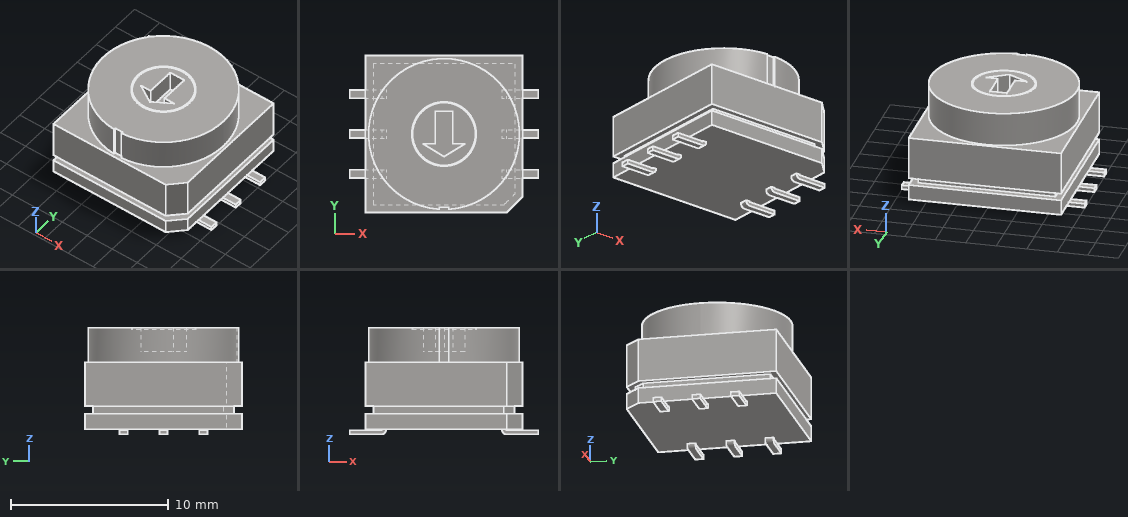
import cadquery as cq

body_side = 10.0
corner_chamfer = 1.0
neck_inset = 0.5
standoff = 0.32
base_height = 1.01
neck_height = 0.47
body_top = 4.6
base_top = standoff + base_height
neck_top = base_top + neck_height

knob_diameter = 9.6
overall_height = 6.8
notch_width = 0.6
notch_depth = 0.13

ring_outer_diameter = 4.1
ring_inner_diameter = 4.0
ring_depth = 0.1

arrow_half_length = 1.44
shaft_width = 1.12
head_width = 2.66
head_length = 0.82
arrow_depth = 1.5

lead_span = 12.0
lead_inner_gap = 7.37
lead_width = 0.54
lead_thickness = 0.28
lead_pitch = 2.55
leads_per_side = 3
inner_bend_radius = 0.02
outer_bend_radius = inner_bend_radius + lead_thickness


def housing_slab(inset, bottom, top):
    """Square slab with its +X -Y corner cut off, shrunk evenly by inset."""
    half = body_side / 2
    outline = (
        cq.Workplane("XY", origin=(0, 0, bottom))
        .moveTo(-half, -half)
        .lineTo(half - corner_chamfer, -half)
        .lineTo(half, -half + corner_chamfer)
        .lineTo(half, half)
        .lineTo(-half, half)
        .close()
    )
    if inset:
        outline = outline.offset2D(-inset, "intersection")
    return outline.extrude(top - bottom)


def knob():
    """Cylinder with a shallow pointer notch down its -Y side."""
    height = overall_height - body_top
    radius = knob_diameter / 2
    cylinder = cq.Workplane("XY", origin=(0, 0, body_top)).circle(radius).extrude(height)
    notch = cq.Workplane("XY").box(
        notch_width, 2 * notch_depth, height, centered=(True, True, False)
    )
    return cylinder.cut(notch.translate((0, -radius, body_top)))


def ring_groove():
    return (
        cq.Workplane("XY", origin=(0, 0, overall_height))
        .circle(ring_outer_diameter / 2)
        .circle(ring_inner_diameter / 2)
        .extrude(-ring_depth)
    )


def arrow_slot():
    head_base = head_length - arrow_half_length
    return (
        cq.Workplane("XY", origin=(0, 0, overall_height))
        .moveTo(0, -arrow_half_length)
        .lineTo(head_width / 2, head_base)
        .lineTo(shaft_width / 2, head_base)
        .lineTo(shaft_width / 2, arrow_half_length)
        .lineTo(-shaft_width / 2, arrow_half_length)
        .lineTo(-shaft_width / 2, head_base)
        .lineTo(-head_width / 2, head_base)
        .close()
        .extrude(-arrow_depth)
    )


def lead():
    """Constant-thickness +X terminal, bent up at its inner end into the base."""
    inner_x = lead_inner_gap / 2
    post_x = inner_x + lead_thickness
    outer_x = lead_span / 2
    return (
        cq.Workplane("XZ")
        .moveTo(outer_x, 0)
        .lineTo(outer_x, lead_thickness)
        .lineTo(post_x + inner_bend_radius, lead_thickness)
        .radiusArc((post_x, outer_bend_radius), inner_bend_radius)
        .lineTo(post_x, base_top)
        .lineTo(inner_x, base_top)
        .lineTo(inner_x, outer_bend_radius)
        .radiusArc((inner_x + outer_bend_radius, 0), -outer_bend_radius)
        .close()
        .extrude(lead_width / 2, both=True)
    )


result = housing_slab(0, standoff, base_top)
result = result.union(housing_slab(neck_inset, base_top, neck_top))
result = result.union(housing_slab(0, neck_top, body_top))
result = result.union(knob())
result = result.cut(ring_groove())
result = result.cut(arrow_slot())

for index in range(leads_per_side):
    lead_y = (index - (leads_per_side - 1) / 2) * lead_pitch
    right_lead = lead().translate((0, lead_y, 0))
    result = result.union(right_lead)
    result = result.union(right_lead.mirror("YZ"))